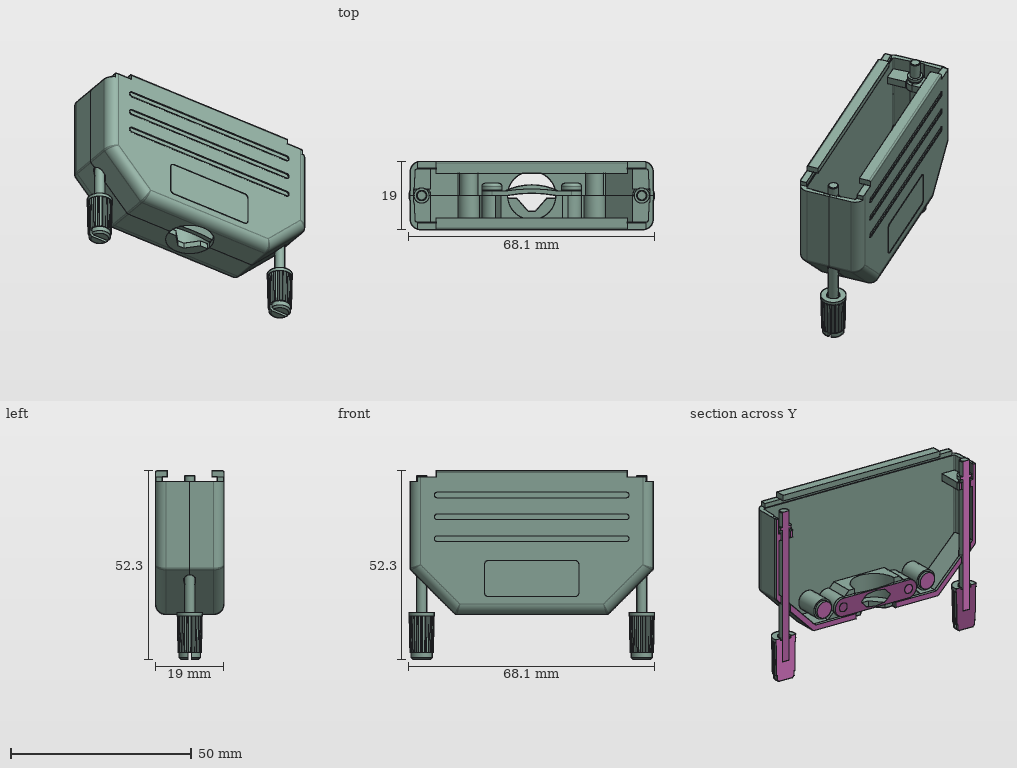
import cadquery as cq
import math


HALF_WIDTH = 33.7
HALF_DEPTH = 9.5
BOTTOM_HALF_WIDTH = 21.1
CORNER_RISE = HALF_WIDTH - BOTTOM_HALF_WIDTH
RAIL_TOP_Z = 39.9
EDGE_RADIUS = 2.9
CORNER_RADIUS = 0.7

WALL_TOP_Z = 36.9
TONGUE_TOP_Z = 38.2
TONGUE_HALF_LENGTH = 31.7
TONGUE_THICKNESS = 1.9
RAIL_HALF_LENGTH = 26.5
RAIL_THICKNESS = 3.35
RAIL_EDGE_RADIUS = 0.5

CAVITY_DEPTH = 7.3
SIDE_WALL = 1.0
SIDE_DRAFT = 0.4
CAVITY_CORNER_RADIUS = 0.35
WALL_OVERLAP = 0.35
FLOOR = 1.7

GRIP_HALF_LENGTH = 27.0
GRIP_WIDTH = 1.6
GRIP_DEPTH = 0.35
GRIP_TOP_Z = 33.15
GRIP_PITCH = 6.05
GRIP_COUNT = 3
LABEL_WIDTH = 26.15
LABEL_HEIGHT = 10.0
LABEL_CENTER_Z = 10.0
LABEL_RADIUS = 1.1
LABEL_DEPTH = 0.15

PILLAR_X = 17.4
PILLAR_Z = 5.45
FRONT_PILLAR_RADIUS = 3.0
BACK_PILLAR_RADIUS = 2.5

CABLE_RADIUS = 6.7
CLAMP_X = 11.0
CLAMP_Z = 4.6
CLAMP_END_RADIUS = 2.8
CLAMP_THICKNESS = 1.2
ARCH_HALF_WIDTH = 6.55
ARCH_TOP_HALF_WIDTH = 7.5
ARCH_EDGE_RISE = 0.6
ARCH_MIDDLE_RISE = 1.8
COLLAR_HALF_WIDTH = 8.5
COLLAR_TOP_Z = 8.85
CLAMP_SHANK_RADIUS = 1.2
CLAMP_SHANK_LENGTH = 5.45
CLAMP_HEAD_HEIGHT = 2.2
CLAMP_HEAD_RADIUS = CLAMP_END_RADIUS
CLAMP_HEAD_ROUNDING = 0.9
CLAMP_HEAD_CHAMFER = 0.35

REST_TOP_Y = -0.75
REST_NOTCH_Y = -4.3
REST_NOTCH_TOP_HALF_WIDTH = 4.15
REST_NOTCH_BOTTOM_HALF_WIDTH = 1.0

ROD_X = 30.5
ROD_RADIUS = 1.4
ROD_TOP_Z = 38.6
ROD_CHAMFER = 0.2
ROD_HOLE_RADIUS = 1.67
ROD_END_Z = -6.8
SHELF_INNER_X = 28.0
SHELF_THICKNESS = 2.2
FRONT_SHELF_TOP_Z = 32.35
BACK_SHELF_TOP_Z = 33.1
BACK_SHELF_GAP = 1.85
SLEEVE_RADIUS = ROD_X - SHELF_INNER_X
CHANNEL_OUTER_X = 32.8
ROD_COLLAR_RADIUS = 2.1
ROD_COLLAR_THICKNESS = 0.95

KNOB_TOP_Z = 0.6
HALF_LENGTH = 34.05
FLANGE_RADIUS = HALF_LENGTH - ROD_X
FLANGE_BOTTOM_Z = -0.4
KNURL_BOTTOM_Z = -10.4
KNURL_TOP_RADIUS = FLANGE_RADIUS - 0.1
KNURL_BOTTOM_RADIUS = 3.3
FLUTE_COUNT = 18
FLUTE_DEPTH = 0.3
FLUTE_WIDTH = 0.6
TIP_RADIUS = 3.0
TOTAL_HEIGHT = 52.3
TIP_BOTTOM_Z = RAIL_TOP_Z - TOTAL_HEIGHT
TIP_CHAMFER = 0.55
SLOT_WIDTH = 0.9
KNOB_MOUTH_RADIUS = 1.85
KNOB_MOUTH_DEPTH = 0.7

SIDES = (-1, 1)
FRONT = -1
BACK = 1


def box_between(x0, x1, y0, y1, z0, z1):
    """A box given by its limits along each axis."""
    return cq.Workplane("XY").box(x1 - x0, y1 - y0, z1 - z0, centered=False).translate((x0, y0, z0))


def y_cylinder(radius, x, z, y0, y1):
    """A cylinder along Y from y0 to y1."""
    return cq.Workplane("XZ", origin=(x, y0, z)).circle(radius).extrude(y0 - y1)


def z_cylinder(radius, x, z0, z1):
    """A cylinder along Z from z0 to z1."""
    return cq.Workplane("XY", origin=(x, 0, z0)).circle(radius).extrude(z1 - z0)


def outer_block():
    """The solid outer shape of both halves, as high as the rails."""
    outline = [
        (-HALF_WIDTH, RAIL_TOP_Z),
        (-HALF_WIDTH, CORNER_RISE),
        (-BOTTOM_HALF_WIDTH, 0),
        (BOTTOM_HALF_WIDTH, 0),
        (HALF_WIDTH, CORNER_RISE),
        (HALF_WIDTH, RAIL_TOP_Z),
    ]
    block = cq.Workplane("XZ").polyline(outline).close().extrude(HALF_DEPTH, both=True)
    block = block.edges("#Y exc >Z").fillet(EDGE_RADIUS)
    return block.edges("|Y exc >Z").fillet(CORNER_RADIUS)


def cavity_outline(side_x):
    """The inside outline with its end walls at the given distance from the middle."""
    slope_shift = FLOOR * math.sqrt(2)
    corner_z = side_x - BOTTOM_HALF_WIDTH + slope_shift
    floor_x = BOTTOM_HALF_WIDTH + FLOOR - slope_shift
    return [
        (-side_x, RAIL_TOP_Z),
        (-side_x, corner_z),
        (-floor_x, FLOOR),
        (floor_x, FLOOR),
        (side_x, corner_z),
        (side_x, RAIL_TOP_Z),
    ]


def cavity():
    """The front half of the drafted inside space."""
    side_x = HALF_WIDTH - SIDE_WALL
    return (
        cq.Workplane("XZ")
        .polyline(cavity_outline(side_x))
        .close()
        .workplane(offset=CAVITY_DEPTH)
        .polyline(cavity_outline(side_x - SIDE_DRAFT))
        .close()
        .loft(ruled=True)
        .faces("<Y")
        .edges("|Z")
        .fillet(CAVITY_CORNER_RADIUS)
    )


def upper_edge(block):
    """The front tongue and the overhanging rail on top of it."""
    tongue = box_between(
        -TONGUE_HALF_LENGTH, TONGUE_HALF_LENGTH,
        -HALF_DEPTH, TONGUE_THICKNESS - HALF_DEPTH,
        WALL_TOP_Z, TONGUE_TOP_Z,
    ).intersect(block)
    rail = box_between(
        -RAIL_HALF_LENGTH, RAIL_HALF_LENGTH,
        -HALF_DEPTH, RAIL_THICKNESS - HALF_DEPTH,
        TONGUE_TOP_Z, RAIL_TOP_Z,
    )
    return tongue.union(rail.edges("<Y and >Z").fillet(RAIL_EDGE_RADIUS))


def wall_recesses():
    """The grip grooves and the label field in the front wall."""
    grips = cq.Workplane("XZ", origin=(0, GRIP_DEPTH - HALF_DEPTH, 0)).pushPoints(
        [(0, GRIP_TOP_Z - i * GRIP_PITCH) for i in range(GRIP_COUNT)]
    ).slot2D(2 * GRIP_HALF_LENGTH, GRIP_WIDTH).extrude(GRIP_DEPTH)
    label = (
        cq.Workplane("XZ", origin=(0, LABEL_DEPTH - HALF_DEPTH, LABEL_CENTER_Z))
        .rect(LABEL_WIDTH, LABEL_HEIGHT)
        .extrude(LABEL_DEPTH)
        .edges("|Y")
        .fillet(LABEL_RADIUS)
    )
    return grips.union(label)


def plain_half(side):
    """The features that the front and back halves share."""
    block = outer_block()
    front = block.intersect(box_between(-HALF_WIDTH, HALF_WIDTH, -HALF_DEPTH, 0, 0, WALL_TOP_Z))
    front = front.cut(cavity()).union(upper_edge(block)).cut(wall_recesses())
    return front if side == FRONT else front.mirror("XZ")


def add_pillars(half, side, radius):
    """Pillars from the flat wall to the parting plane."""
    for x in (-PILLAR_X, PILLAR_X):
        half = half.union(y_cylinder(radius, x, PILLAR_Z, 0, side * (CAVITY_DEPTH + WALL_OVERLAP)))
    return half


def cut_openings(half):
    """The cable entry, the rod holes and the channels beside the rod collars."""
    half = half.cut(z_cylinder(CABLE_RADIUS, 0, 0, COLLAR_TOP_Z))
    for s in SIDES:
        half = half.cut(z_cylinder(ROD_HOLE_RADIUS, s * ROD_X, 0, RAIL_TOP_Z))
        x0, x1 = sorted((s * SHELF_INNER_X, s * CHANNEL_OUTER_X))
        half = half.cut(box_between(x0, x1, -BACK_SHELF_GAP, BACK_SHELF_GAP, FRONT_SHELF_TOP_Z, RAIL_TOP_Z))
    return half


def add_shelves(half, y_limits, top_z):
    """A shelf at each end for the rod collar."""
    for s in SIDES:
        x0, x1 = sorted((s * SHELF_INNER_X, s * (HALF_WIDTH - SIDE_WALL + WALL_OVERLAP)))
        half = half.union(box_between(x0, x1, *y_limits, top_z - SHELF_THICKNESS, top_z))
    return half


def front_shell():
    """The front half, which carries the clamp bosses and the cable collar."""
    half = add_pillars(plain_half(FRONT), FRONT, FRONT_PILLAR_RADIUS)
    flank = COLLAR_TOP_Z - FLOOR
    collar = (
        cq.Workplane("XZ")
        .polyline([
            (-COLLAR_HALF_WIDTH - flank, FLOOR),
            (COLLAR_HALF_WIDTH + flank, FLOOR),
            (COLLAR_HALF_WIDTH, COLLAR_TOP_Z),
            (-COLLAR_HALF_WIDTH, COLLAR_TOP_Z),
        ])
        .close()
        .extrude(CAVITY_DEPTH + WALL_OVERLAP)
    )
    half = half.union(collar)
    for x in (-CLAMP_X, CLAMP_X):
        half = half.union(y_cylinder(CLAMP_END_RADIUS, x, CLAMP_Z, -CAVITY_DEPTH - WALL_OVERLAP, 0))
    for x in (-CLAMP_X, CLAMP_X):
        half = half.cut(y_cylinder(CLAMP_SHANK_RADIUS, x, CLAMP_Z, -CLAMP_SHANK_LENGTH, 0))
    half = add_shelves(half, (-CAVITY_DEPTH - WALL_OVERLAP, 0), FRONT_SHELF_TOP_Z)
    return cut_openings(half)


def back_shell():
    """The back half, whose shelves stop short of the rods above a half-round sleeve."""
    half = add_pillars(plain_half(BACK), BACK, BACK_PILLAR_RADIUS)
    half = add_shelves(half, (BACK_SHELF_GAP, CAVITY_DEPTH + WALL_OVERLAP), BACK_SHELF_TOP_Z)
    sleeve_bottom = FRONT_SHELF_TOP_Z - SHELF_THICKNESS
    behind = box_between(-HALF_WIDTH, HALF_WIDTH, 0, BACK_SHELF_GAP, sleeve_bottom, FRONT_SHELF_TOP_Z)
    for s in SIDES:
        sleeve = z_cylinder(SLEEVE_RADIUS, s * ROD_X, sleeve_bottom, FRONT_SHELF_TOP_Z)
        half = half.union(sleeve.intersect(behind))
    return cut_openings(half)


def arch_section(z, rise):
    """A cross-section of the clamp's arched middle at height z."""
    top = CLAMP_THICKNESS
    edges = [
        cq.Edge.makeThreePointArc(
            cq.Vector(-ARCH_HALF_WIDTH, 0, z), cq.Vector(0, rise, z), cq.Vector(ARCH_HALF_WIDTH, 0, z)
        ),
        cq.Edge.makeLine(cq.Vector(ARCH_HALF_WIDTH, 0, z), cq.Vector(ARCH_TOP_HALF_WIDTH, top, z)),
        cq.Edge.makeThreePointArc(
            cq.Vector(ARCH_TOP_HALF_WIDTH, top, z),
            cq.Vector(0, top + rise, z),
            cq.Vector(-ARCH_TOP_HALF_WIDTH, top, z),
        ),
        cq.Edge.makeLine(cq.Vector(-ARCH_TOP_HALF_WIDTH, top, z), cq.Vector(-ARCH_HALF_WIDTH, 0, z)),
    ]
    return cq.Wire.assembleEdges(edges)


def cable_clamp():
    """The clamp strip: flat round ends with screw holes and a middle that bulges over the cable."""
    strip = (
        cq.Workplane("XZ", origin=(0, 0, CLAMP_Z))
        .slot2D(2 * (CLAMP_X + CLAMP_END_RADIUS), 2 * CLAMP_END_RADIUS)
        .extrude(-CLAMP_THICKNESS)
    )
    middle = (
        cq.Workplane("XY", origin=(0, 0, CLAMP_Z - CLAMP_END_RADIUS))
        .polyline([
            (-ARCH_HALF_WIDTH, 0),
            (ARCH_HALF_WIDTH, 0),
            (ARCH_TOP_HALF_WIDTH, CLAMP_THICKNESS),
            (-ARCH_TOP_HALF_WIDTH, CLAMP_THICKNESS),
        ])
        .close()
        .extrude(2 * CLAMP_END_RADIUS)
    )
    clamp = strip.cut(middle)
    for s in SIDES:
        edge = arch_section(CLAMP_Z + s * CLAMP_END_RADIUS, ARCH_EDGE_RISE)
        ridge = arch_section(CLAMP_Z, ARCH_MIDDLE_RISE)
        clamp = clamp.union(cq.Workplane(cq.Solid.makeLoft([edge, ridge], True)))
    for x in (-CLAMP_X, CLAMP_X):
        clamp = clamp.cut(y_cylinder(CLAMP_SHANK_RADIUS, x, CLAMP_Z, 0, CLAMP_THICKNESS))
    return clamp


def clamp_screw(x):
    """A round-headed screw through one end of the clamp."""
    head_top = CLAMP_THICKNESS + CLAMP_HEAD_HEIGHT
    head = y_cylinder(CLAMP_HEAD_RADIUS, x, CLAMP_Z, CLAMP_THICKNESS, head_top)
    head = head.faces(">Y").edges().fillet(CLAMP_HEAD_ROUNDING)
    head = head.faces("<Y").edges().chamfer(CLAMP_HEAD_CHAMFER)
    return head.union(y_cylinder(CLAMP_SHANK_RADIUS, x, CLAMP_Z, -CLAMP_SHANK_LENGTH, CLAMP_THICKNESS))


def cable_rest():
    """The V-notched plate in the front half of the cable entry."""
    plate = z_cylinder(CABLE_RADIUS, 0, 0, FLOOR)
    plate = plate.intersect(box_between(-CABLE_RADIUS, CABLE_RADIUS, -CABLE_RADIUS, REST_TOP_Y, 0, FLOOR))
    notch = (
        cq.Workplane("XY")
        .polyline([
            (-REST_NOTCH_TOP_HALF_WIDTH, REST_TOP_Y),
            (-REST_NOTCH_BOTTOM_HALF_WIDTH, REST_NOTCH_Y),
            (REST_NOTCH_BOTTOM_HALF_WIDTH, REST_NOTCH_Y),
            (REST_NOTCH_TOP_HALF_WIDTH, REST_TOP_Y),
        ])
        .close()
        .extrude(FLOOR)
    )
    return plate.cut(notch)


def jackscrew_rod(x):
    """A rod with the collar that keeps it in the hood."""
    rod = z_cylinder(ROD_RADIUS, x, ROD_END_Z, ROD_TOP_Z).faces(">Z").chamfer(ROD_CHAMFER)
    collar_top = BACK_SHELF_TOP_Z + ROD_COLLAR_THICKNESS
    return rod.union(z_cylinder(ROD_COLLAR_RADIUS, x, BACK_SHELF_TOP_Z, collar_top))


def flute_section(radius):
    """The triangle of one flute, FLUTE_WIDTH wide where it meets the given grip radius."""
    return [
        (radius - FLUTE_DEPTH, 0),
        (radius + FLUTE_DEPTH, -FLUTE_WIDTH),
        (radius + FLUTE_DEPTH, FLUTE_WIDTH),
    ]


def knob(x):
    """A fluted knob with a flange, a slotted tip and a bore for the rod."""
    profile = [
        (0, KNOB_TOP_Z),
        (FLANGE_RADIUS, KNOB_TOP_Z),
        (FLANGE_RADIUS, FLANGE_BOTTOM_Z),
        (KNURL_TOP_RADIUS, FLANGE_BOTTOM_Z),
        (KNURL_BOTTOM_RADIUS, KNURL_BOTTOM_Z),
        (TIP_RADIUS, KNURL_BOTTOM_Z),
        (TIP_RADIUS, TIP_BOTTOM_Z + TIP_CHAMFER),
        (TIP_RADIUS - TIP_CHAMFER, TIP_BOTTOM_Z),
        (0, TIP_BOTTOM_Z),
    ]
    body = cq.Workplane("XZ").polyline(profile).close().revolve(360, (0, 0, 0), (0, 1, 0))

    flute = (
        cq.Workplane("XY", origin=(0, 0, FLANGE_BOTTOM_Z))
        .polyline(flute_section(KNURL_TOP_RADIUS))
        .close()
        .workplane(offset=KNURL_BOTTOM_Z - FLANGE_BOTTOM_Z)
        .polyline(flute_section(KNURL_BOTTOM_RADIUS))
        .close()
        .loft(ruled=True)
        .val()
    )
    axis = (cq.Vector(0, 0, 0), cq.Vector(0, 0, 1))
    flutes = [flute.rotate(*axis, (i + 0.5) * 360 / FLUTE_COUNT) for i in range(FLUTE_COUNT)]
    body = body.cut(cq.Workplane(cq.Compound.makeCompound(flutes)))

    body = body.cut(box_between(
        -TIP_RADIUS, TIP_RADIUS, -SLOT_WIDTH / 2, SLOT_WIDTH / 2, TIP_BOTTOM_Z, KNURL_BOTTOM_Z
    ))
    body = body.cut(z_cylinder(ROD_RADIUS, 0, ROD_END_Z, KNOB_TOP_Z))
    body = body.cut(z_cylinder(KNOB_MOUTH_RADIUS, 0, KNOB_TOP_Z - KNOB_MOUTH_DEPTH, KNOB_TOP_Z))
    return body.translate((x, 0, 0))


front = front_shell()
back = back_shell()
clamp = cable_clamp()
rest = cable_rest()
clamp_screws = [clamp_screw(s * CLAMP_X).val() for s in SIDES]
rods = [jackscrew_rod(s * ROD_X).val() for s in SIDES]
knobs = [knob(s * ROD_X).val() for s in SIDES]

result = cq.Compound.makeCompound(
    [front.val(), back.val(), clamp.val(), rest.val(), *clamp_screws, *rods, *knobs]
)